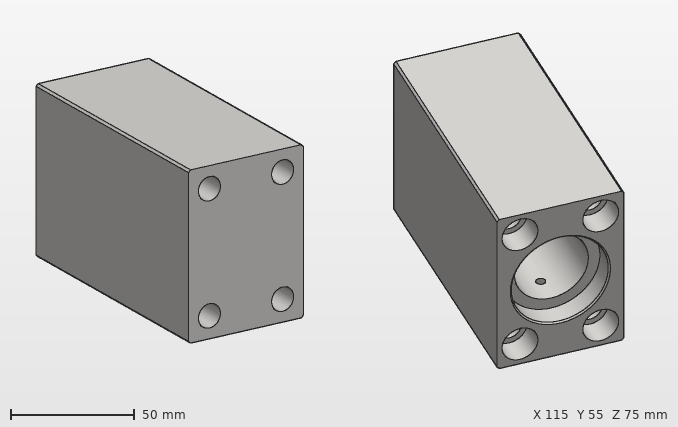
import cadquery as cq

length = 115.0
width = 55.0
height = 75.0
edge_chamfer = 1.0

mount_spacing_y = 35.0
mount_spacing_z = 55.0
mount_diameter = 10.5
mount_head_diameter = 15.5
mount_head_depth = 12.0

bore_diameter = 32.0
end_wall = 15.0
seat_diameter = 42.0
seat_depth = 10.0
seat_chamfer = 0.7

port_diameter = 4.0
port_distance = 22.0

open_face_x = -length / 2


def make_block():
    block = cq.Workplane("XY").box(length, width, height)
    return block.edges("|X").chamfer(edge_chamfer)


def make_bore():
    """Half section of the bore, spun about the X axis."""
    bore_radius = bore_diameter / 2
    seat_radius = seat_diameter / 2
    seat_end_x = open_face_x + seat_depth
    bore_end_x = length / 2 - end_wall
    section = (
        cq.Workplane("XY")
        .moveTo(open_face_x, 0)
        .lineTo(open_face_x, seat_radius + seat_chamfer)
        .lineTo(open_face_x + seat_chamfer, seat_radius)
        .lineTo(seat_end_x, seat_radius)
        .lineTo(seat_end_x, bore_radius)
        .lineTo(bore_end_x, bore_radius)
        .lineTo(bore_end_x, 0)
        .close()
    )
    return section.revolve(360, (0, 0, 0), (1, 0, 0))


def make_port():
    """Radial hole from the bottom face up to the bore axis."""
    start = cq.Workplane("XY", origin=(open_face_x + port_distance, 0, -height / 2))
    return start.circle(port_diameter / 2).extrude(height / 2)


def drill_mount_holes(body):
    return (
        body.faces("<X")
        .workplane(origin=(open_face_x, 0, 0))
        .rarray(mount_spacing_y, mount_spacing_z, 2, 2)
        .cboreHole(mount_diameter, mount_head_diameter, mount_head_depth)
    )


bored_block = make_block().cut(make_bore()).cut(make_port())
result = drill_mount_holes(bored_block)